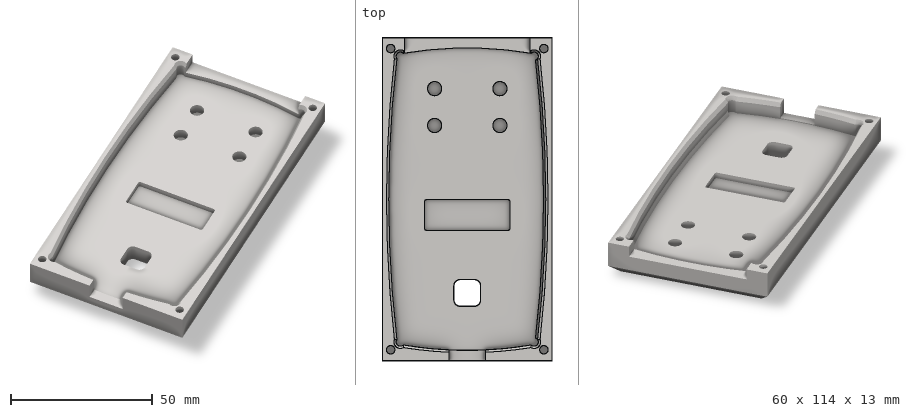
import cadquery as cq

WIDTH = 60.0
LENGTH = 114.0
HEIGHT = 13.0
BOTTOM_CHAMFER = 3.4

POCKET_DEPTH = 6.3
POCKET_HALF_WIDTH = 27.7
POCKET_HALF_LENGTH = 53.4
SIDE_BOW = 3.1
END_BOW = 2.3
FLARE_WIDTH = 0.8
FLARE_HEIGHT = 1.5

RELIEF_DIAMETER = 3.0
RELIEF_X = 23.6
RELIEF_Y = 50.4

NOTCH_WIDTH = 13.0
NOTCH_DEPTH = 5.9
SHELF_WIDTH = 44.2
SHELF_DEPTH = 4.1

SCREW_DIAMETER = 3.0
SCREW_DEPTH = 5.9
SCREW_SIDE_INSET = 3.0
SCREW_END_INSET = 3.9

BUTTON_DIAMETER = 5.0
BUTTON_DEPTH = 4.0
BUTTON_X = 11.5
BUTTON_ROWS = (26.0, 39.0)
RECESS_WIDTH = 30.1
RECESS_LENGTH = 10.8
RECESS_DEPTH = 2.3
RECESS_RADIUS = 0.7
RECESS_Y = -5.6
WINDOW_SIDE = 9.3
WINDOW_RADIUS = 2.2
WINDOW_Y = -33.1

FLOOR_Z = HEIGHT - POCKET_DEPTH
CORNER_X = POCKET_HALF_WIDTH - SIDE_BOW
CORNER_Y = POCKET_HALF_LENGTH - END_BOW


def mirrored(x, y):
    """The four points at plus and minus x, y."""
    return [(sx * x, sy * y) for sx in (-1, 1) for sy in (-1, 1)]


def blind_holes(points, diameter, top_z, depth):
    return cq.Workplane(origin=(0, 0, top_z)).pushPoints(points).circle(diameter / 2).extrude(-depth)


def rounded_cut(width, length, y, radius, depth):
    """Rectangular cutter with round corners, sunk from the pocket floor."""
    cutter = cq.Workplane(origin=(0, y, FLOOR_Z)).rect(width, length).extrude(-depth)
    return cutter.edges("|Z").fillet(radius)


def end_opening(width, depth, end):
    """Box from the part's end (-1 front, 1 rear) to mid-length, sunk from the rim."""
    return (
        cq.Workplane(origin=(0, end * LENGTH / 4, HEIGHT))
        .rect(width, LENGTH / 2)
        .extrude(-depth)
    )


def bowed_outline(z, growth):
    """Closed outline of four bowed walls, pushed outward by the growth."""
    x = CORNER_X + growth
    y = CORNER_Y + growth
    side = POCKET_HALF_WIDTH + growth
    end = POCKET_HALF_LENGTH + growth
    return (
        cq.Workplane(origin=(0, 0, z))
        .moveTo(-x, -y)
        .threePointArc((0, -end), (x, -y))
        .threePointArc((side, 0), (x, y))
        .threePointArc((0, end), (-x, y))
        .threePointArc((-side, 0), (-x, -y))
        .close()
    )


def bowed_pocket():
    """Cutter for the pocket, with a steep chamfer along the +X wall at its floor."""
    cutter = bowed_outline(FLOOR_Z, 0).extrude(POCKET_DEPTH)
    return cutter.faces("<Z").edges(">X").chamfer(FLARE_HEIGHT, FLARE_WIDTH)


def flared_rim():
    """Cutter for the steep chamfer around the top of the pocket."""
    lower = bowed_outline(HEIGHT - FLARE_HEIGHT, 0).wires().val()
    upper = bowed_outline(HEIGHT, FLARE_WIDTH).wires().val()
    return cq.Workplane(cq.Solid.makeLoft([lower, upper], True))


def corner_reliefs():
    """Round bores in the pocket corners, each with a chamfered mouth."""
    radius = RELIEF_DIAMETER / 2
    mouth = radius + FLARE_WIDTH
    relief = (
        cq.Workplane("XZ")
        .polyline(
            [
                (0, FLOOR_Z),
                (radius, FLOOR_Z),
                (radius, HEIGHT - FLARE_HEIGHT),
                (mouth, HEIGHT),
                (0, HEIGHT),
            ]
        )
        .close()
        .revolve(360, (0, 0), (0, 1))
        .val()
    )
    return cq.Workplane().pushPoints(mirrored(RELIEF_X, RELIEF_Y)).eachpoint(relief, combine=True)


result = cq.Workplane().box(WIDTH, LENGTH, HEIGHT, centered=(True, True, False))
result = result.faces("<Z").chamfer(BOTTOM_CHAMFER)

result = result.cut(bowed_pocket())
result = result.cut(flared_rim())
result = result.cut(corner_reliefs())

result = result.cut(end_opening(NOTCH_WIDTH, NOTCH_DEPTH, -1))
result = result.cut(end_opening(SHELF_WIDTH, SHELF_DEPTH, 1))

screw_points = mirrored(WIDTH / 2 - SCREW_SIDE_INSET, LENGTH / 2 - SCREW_END_INSET)
result = result.cut(blind_holes(screw_points, SCREW_DIAMETER, HEIGHT, SCREW_DEPTH))

button_points = [(sx * BUTTON_X, y) for sx in (-1, 1) for y in BUTTON_ROWS]
result = result.cut(blind_holes(button_points, BUTTON_DIAMETER, FLOOR_Z, BUTTON_DEPTH))

result = result.cut(rounded_cut(RECESS_WIDTH, RECESS_LENGTH, RECESS_Y, RECESS_RADIUS, RECESS_DEPTH))
result = result.cut(rounded_cut(WINDOW_SIDE, WINDOW_SIDE, WINDOW_Y, WINDOW_RADIUS, FLOOR_Z))